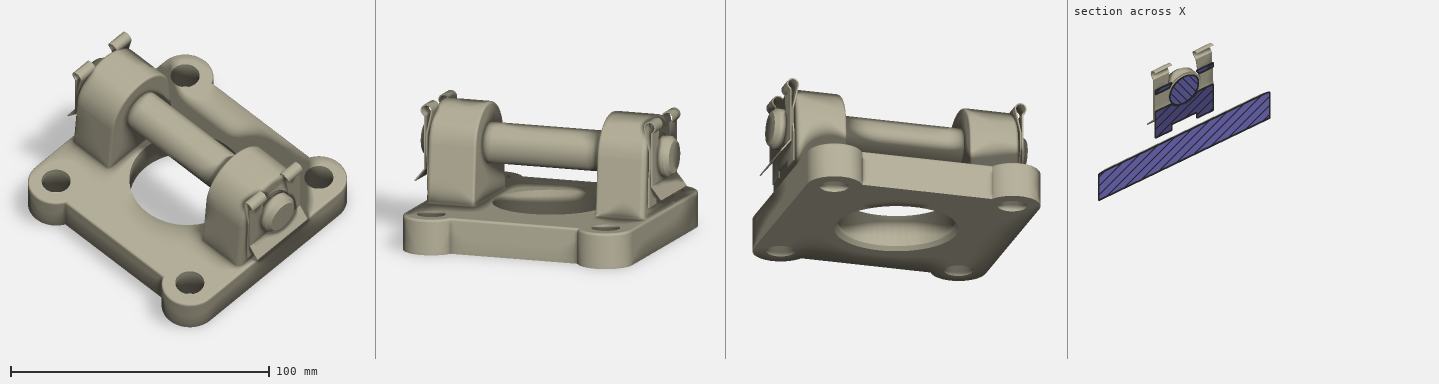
import cadquery as cq
import math

plate_thickness = 14.0
plate_edge_fillet = 1.0
bolt_spacing = 72.1
bolt_hole_radius = 5.6
lobe_radius = 11.0
plate_half_length = bolt_spacing / 2 + lobe_radius
plate_half_width = 41.0
bore_radius = 22.5
bore_chamfer = 1.5

axis_z = 36.0
pin_radius = 8.0
pin_half_length = 51.2
pin_chamfer_radial = 1.5
pin_chamfer_axial = 1.7
groove_depth = 1.0
groove_inner_x = 45.3
groove_outer_x = 46.4

ear_outer_x = 45.0
ear_width = 20.0
ear_inner_x = ear_outer_x - ear_width
ear_radius = 16.0
ear_taper = math.radians(5)
ear_outer_fillet = 1.9
ear_inner_fillet = 1.0
ear_base_fillet = 0.9

strip_thickness = 0.5
clip_width = 28.0
clip_top_z = 52.3
clip_bottom_z = 18.1
foot_tip_x = 51.0
foot_tip_z = 21.5
foot_bend_z = 26.5
outer_leaf_x = 46.9
loop_radius = 2.2
loop_x = 46.1
loop_z = clip_top_z - loop_radius - strip_thickness / 2
loop_exit = math.radians(45)
inner_leaf_slope = math.radians(12.5)
pinch_x = 46.1
pinch_bottom_z = 33.8
lower_leaf_x = 45.7
lower_leaf_top_z = 29.2

leaf_split_x = (pinch_x + outer_leaf_x) / 2
cutter_top_z = clip_top_z + 1
cutter_depth = 2 * loop_radius
slot_taper = math.radians(8)
window_half_width = 5.9
window_arch_radius = 12.6
notch_height = 3.0
opening_corner_radius = 0.5


def box_on_base(length, width, height):
    return cq.Workplane().box(length, width, height, centered=(True, True, False))


def bolt_circles(radius):
    centres = cq.Workplane().rect(bolt_spacing, bolt_spacing, forConstruction=True).vertices()
    return centres.circle(radius).extrude(plate_thickness)


def make_plate():
    """Plate with four round corner lobes and a rounded top edge, before its holes are cut."""
    along_x = box_on_base(2 * plate_half_length, bolt_spacing, plate_thickness)
    along_y = box_on_base(bolt_spacing, 2 * plate_half_width, plate_thickness)
    plate = along_x.union(along_y).union(bolt_circles(lobe_radius)).clean()
    return plate.faces(">Z").edges().fillet(plate_edge_fillet)


def make_ear():
    """Ear on the +X side: a round head with flanks that widen towards the plate."""
    tangent_y = ear_radius * math.cos(ear_taper)
    tangent_z = axis_z + ear_radius * math.sin(ear_taper)
    base_y = tangent_y + (tangent_z - plate_thickness) * math.tan(ear_taper)
    ear = (
        cq.Workplane("YZ", origin=(ear_inner_x, 0, 0))
        .moveTo(-base_y, plate_thickness)
        .lineTo(-tangent_y, tangent_z)
        .threePointArc((0, axis_z + ear_radius), (tangent_y, tangent_z))
        .lineTo(base_y, plate_thickness)
        .close()
        .extrude(ear_width)
    )
    ear = ear.faces(">X").edges("not <Z").fillet(ear_outer_fillet)
    return ear.faces("<X").edges("not <Z").fillet(ear_inner_fillet)


def fillet_ear_bases(bracket):
    """Round the corner between the ears and the plate; the box leaves out the plate's own edges."""
    margin = 0.1
    reach_x = ear_outer_x + margin
    reach_y = clip_width
    lower = (-reach_x, -reach_y, plate_thickness - margin)
    upper = (reach_x, reach_y, plate_thickness + margin)
    return bracket.edges(cq.selectors.BoxSelector(lower, upper)).fillet(ear_base_fillet)


def make_bore():
    """Cutter for the large plate bore, chamfered at the underside."""
    bore = cq.Workplane().circle(bore_radius).extrude(plate_thickness)
    chamfer = (
        cq.Workplane()
        .circle(bore_radius + bore_chamfer)
        .workplane(offset=bore_chamfer)
        .circle(bore_radius)
        .loft()
    )
    return bore.union(chamfer)


def make_bracket(clips):
    """Plate and ears in one piece, with a thin slot in each ear where the clip goes into it."""
    ear = make_ear()
    bracket = make_plate().union(ear).union(ear.mirror("YZ"))
    bracket = fillet_ear_bases(bracket)
    pin_hole = (
        cq.Workplane("YZ", origin=(-ear_outer_x, 0, axis_z)).circle(pin_radius).extrude(2 * ear_outer_x)
    )
    for cutter in (bolt_circles(bolt_hole_radius), make_bore(), pin_hole, *clips):
        bracket = bracket.cut(cutter)
    return bracket


def make_pin():
    """Pin with chamfered ends and a clip groove near each end."""
    groove_radius = pin_radius - groove_depth
    right_half = [
        (groove_inner_x, pin_radius),
        (groove_inner_x, groove_radius),
        (groove_outer_x, groove_radius),
        (groove_outer_x, pin_radius),
        (pin_half_length - pin_chamfer_axial, pin_radius),
        (pin_half_length, pin_radius - pin_chamfer_radial),
        (pin_half_length, 0),
    ]
    left_half = [(-x, radius) for x, radius in reversed(right_half)]
    pin = cq.Workplane("XZ").polyline(left_half + right_half).close().revolve(360, (0, 0), (1, 0))
    return pin.translate((0, 0, axis_z))


def make_strip():
    """Bent strip of the +X clip, swept from the foot tip to the bottom of the inner leaf."""
    loop_start_x = loop_x + loop_radius * math.cos(loop_exit)
    loop_start_z = loop_z - loop_radius * math.sin(loop_exit)
    neck_z = loop_start_z - (loop_start_x - outer_leaf_x) / math.tan(loop_exit)
    loop_end_x = loop_x - loop_radius * math.cos(inner_leaf_slope)
    loop_end_z = loop_z - loop_radius * math.sin(inner_leaf_slope)
    pinch_top_z = loop_end_z - (pinch_x - loop_end_x) / math.tan(inner_leaf_slope)
    path = (
        cq.Workplane("XZ")
        .moveTo(foot_tip_x, foot_tip_z)
        .lineTo(outer_leaf_x, foot_bend_z)
        .lineTo(outer_leaf_x, neck_z)
        .lineTo(loop_start_x, loop_start_z)
        .threePointArc((loop_x, loop_z + loop_radius), (loop_end_x, loop_end_z))
        .lineTo(pinch_x, pinch_top_z)
        .lineTo(pinch_x, pinch_bottom_z)
        .lineTo(lower_leaf_x, lower_leaf_top_z)
        .lineTo(lower_leaf_x, clip_bottom_z)
    )
    foot_direction = cq.Vector(outer_leaf_x - foot_tip_x, 0, foot_bend_z - foot_tip_z)
    foot_end = cq.Plane(origin=(foot_tip_x, 0, foot_tip_z), xDir=(0, 1, 0), normal=foot_direction)
    return cq.Workplane(foot_end).rect(clip_width, strip_thickness).sweep(path, transition="right")


def outer_leaf_slot():
    """Cutter that clears the pin head and narrows upwards, open at the top."""
    tangent_y = pin_radius * math.cos(slot_taper)
    tangent_z = axis_z + pin_radius * math.sin(slot_taper)
    top_y = tangent_y - (cutter_top_z - tangent_z) * math.tan(slot_taper)
    return (
        cq.Workplane("YZ", origin=(leaf_split_x, 0, 0))
        .moveTo(tangent_y, tangent_z)
        .lineTo(top_y, cutter_top_z)
        .lineTo(-top_y, cutter_top_z)
        .lineTo(-tangent_y, tangent_z)
        .threePointArc((0, axis_z - pin_radius), (tangent_y, tangent_z))
        .close()
        .extrude(cutter_depth)
    )


def inner_leaf_window():
    """Cutter through the inner side of the loop, with an arched bottom edge about the pin axis."""
    corner_z = axis_z + math.sqrt(window_arch_radius**2 - window_half_width**2)
    window = (
        cq.Workplane("YZ", origin=(leaf_split_x, 0, 0))
        .moveTo(-window_half_width, cutter_top_z)
        .lineTo(-window_half_width, corner_z)
        .threePointArc((0, axis_z + window_arch_radius), (window_half_width, corner_z))
        .lineTo(window_half_width, cutter_top_z)
        .close()
        .extrude(-cutter_depth)
    )
    return window.edges("|X and <Z").fillet(opening_corner_radius)


def inner_leaf_hole():
    """Cutter for the hole that is raised by the groove depth, so its bottom rests in the groove."""
    hole_z = axis_z + groove_depth
    return cq.Workplane("YZ", origin=(leaf_split_x, 0, hole_z)).circle(pin_radius).extrude(-cutter_depth)


def bottom_notch():
    """Cutter that leaves two tabs at the bottom of the inner leaf."""
    notch = cq.Workplane().box(2 * strip_thickness, 2 * window_half_width, 2 * notch_height)
    return notch.edges("|X").fillet(opening_corner_radius).translate((lower_leaf_x, 0, clip_bottom_z))


def make_clip(side):
    """Spring clip on the +X side (side = 1) or its mirror image on the -X side (side = -1)."""
    clip = make_strip()
    for cutter in (outer_leaf_slot(), inner_leaf_window(), inner_leaf_hole(), bottom_notch()):
        clip = clip.cut(cutter)
    return clip if side > 0 else clip.mirror("YZ")


clips = [make_clip(side) for side in (-1, 1)]
pin = make_pin()
bracket = make_bracket(clips)

result = cq.Compound.makeCompound([bracket.val(), pin.val(), *[clip.val() for clip in clips]])